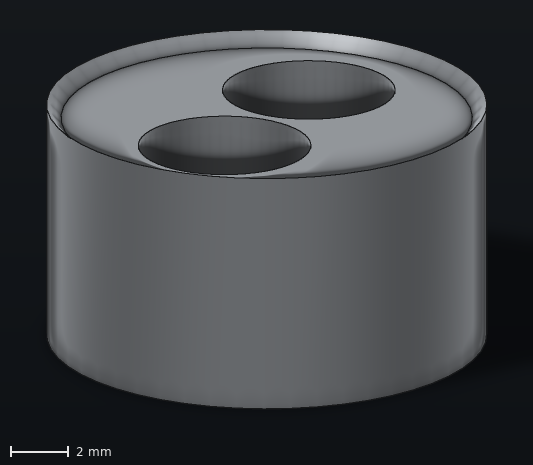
import cadquery as cq

outer_diameter = 15.3
height = 8.5
rim_inset = 0.5
hole_diameter = 6.0
hole_spacing = 6.4

outer_radius = outer_diameter / 2
floor_radius = outer_radius - rim_inset
floor_height = height - rim_inset

body = (
    cq.Workplane("XZ")
    .moveTo(0, 0)
    .lineTo(outer_radius, 0)
    .lineTo(outer_radius, height)
    .lineTo(floor_radius, floor_height)
    .lineTo(0, floor_height)
    .close()
    .revolve(360, (0, 0, 0), (0, 1, 0))
)

holes = (
    cq.Workplane("XY")
    .pushPoints([(0, side * hole_spacing / 2) for side in (-1, 1)])
    .circle(hole_diameter / 2)
    .extrude(height)
)

result = body.cut(holes)